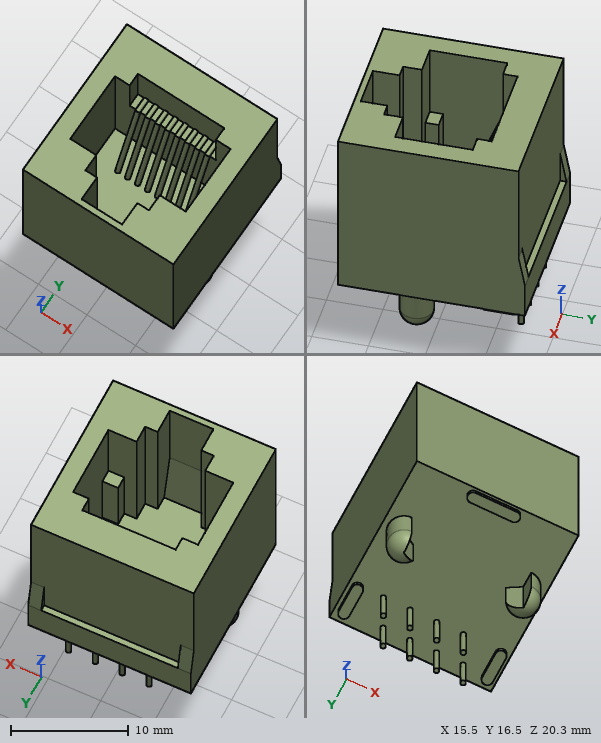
import cadquery as cq
import math

WIDTH = 15.5
DEPTH = 16.5
TOTAL_HEIGHT = 20.28

PEG_RADIUS = 1.5
PEG_SHANK = 2.78
PEG_X = 5.72
PEG_Y = 6.45
PEG_FLAT_ANGLE = 30

HEIGHT = TOTAL_HEIGHT - PEG_SHANK - PEG_RADIUS

REAR_STEP = 0.57
SLOPE_TOP_Z = 6.39
SLOPE_BOTTOM_Z = 3.37
LEDGE_WIDTH = 13.0

CAVITY_FLOOR_Z = 3.05
PLUG_WIDTH = 11.88
PLUG_FRONT_Y = 4.58
PLUG_BACK_Y = 11.44
SHOULDER_WIDTH = 6.53
SHOULDER_FRONT_Y = 2.92
LATCH_WIDTH = 4.15
LATCH_FRONT_Y = 0.57
LATCH_RAMP_FOOT_Y = 1.66
LATCH_RAMP_TOP_Z = 8.11
CORNER_BLOCK_DEPTH = 1.18
CORNER_BLOCK_TOP_Z = 9.13

RECESS_WIDTH = 8.88
RECESS_BACK_Y = 12.72
RECESS_FLOOR_Z = 10.97

CONTACT_COUNT = 8
WIRE_RADIUS = 0.25
WIRE_ROW_SPAN = 7.15
WIRE_PITCH = WIRE_ROW_SPAN / (CONTACT_COUNT - 1)
WIRE_TIP_Y = 8.34
WIRE_EMBED = 0.6

PIN_RADIUS = 0.25
PIN_PITCH = 1.28
PIN_LENGTH = 3.65
PIN_FRONT_ROW_Y = 12.78
PIN_BACK_ROW_Y = 15.33

PAD_HEIGHT = 0.4
PAD_WIDTH = 1.01
FRONT_PAD_LENGTH = 4.99
FRONT_PAD_Y = 0.75
SIDE_PAD_LENGTH = 3.53
SIDE_PAD_X = 6.87
SIDE_PAD_Y = 14.22


def box_between(width, y_front, y_back, z_bottom, z_top):
    """Box centred on X = 0."""
    box = cq.Workplane("XY").box(width, y_back - y_front, z_top - z_bottom, centered=(True, False, False))
    return box.translate((0, y_front, z_bottom))


def side_profile(points, width):
    """Closed (Y, Z) outline extruded symmetrically about X = 0."""
    return cq.Workplane("YZ").polyline(points).close().extrude(width / 2, both=True)


def row_positions(count, pitch):
    """X positions of an evenly spaced row centred on X = 0."""
    return [(i - (count - 1) / 2) * pitch for i in range(count)]


def make_housing():
    wall_y = DEPTH - REAR_STEP
    outline = [
        (0, 0),
        (DEPTH, 0),
        (DEPTH, SLOPE_BOTTOM_Z),
        (wall_y, SLOPE_TOP_Z),
        (wall_y, HEIGHT),
        (0, HEIGHT),
    ]
    ledge_cut = box_between(LEDGE_WIDTH, wall_y, DEPTH, SLOPE_BOTTOM_Z, SLOPE_TOP_Z)
    return side_profile(outline, WIDTH).cut(ledge_cut)


def make_cavity():
    plug = box_between(PLUG_WIDTH, PLUG_FRONT_Y, PLUG_BACK_Y, CAVITY_FLOOR_Z, HEIGHT)
    shoulder = box_between(SHOULDER_WIDTH, SHOULDER_FRONT_Y, PLUG_BACK_Y, CAVITY_FLOOR_Z, HEIGHT)
    latch_outline = [
        (PLUG_BACK_Y, CAVITY_FLOOR_Z),
        (LATCH_RAMP_FOOT_Y, CAVITY_FLOOR_Z),
        (LATCH_FRONT_Y, LATCH_RAMP_TOP_Z),
        (LATCH_FRONT_Y, HEIGHT),
        (PLUG_BACK_Y, HEIGHT),
    ]
    latch = side_profile(latch_outline, LATCH_WIDTH)
    recess = box_between(RECESS_WIDTH, PLUG_BACK_Y, RECESS_BACK_Y, RECESS_FLOOR_Z, HEIGHT)
    return plug.union(shoulder).union(latch).union(recess)


def make_corner_blocks():
    """Blocks filling the two front corners of the plug cavity, flush with the recess sides."""
    back_y = PLUG_FRONT_Y + CORNER_BLOCK_DEPTH
    strip = box_between(PLUG_WIDTH, PLUG_FRONT_Y, back_y, CAVITY_FLOOR_Z, CORNER_BLOCK_TOP_Z)
    middle = box_between(RECESS_WIDTH, PLUG_FRONT_Y, back_y, CAVITY_FLOOR_Z, CORNER_BLOCK_TOP_Z)
    return strip.cut(middle)


def make_wire(x):
    """Wire lying half sunk in the recess floor, then slanting down to the cavity floor."""
    start_y = RECESS_BACK_Y + WIRE_EMBED
    path = cq.Workplane("YZ", origin=(x, 0, 0)).polyline(
        [(start_y, RECESS_FLOOR_Z), (PLUG_BACK_Y, RECESS_FLOOR_Z), (WIRE_TIP_Y, CAVITY_FLOOR_Z)]
    )
    section = cq.Workplane("XZ", origin=(x, start_y, RECESS_FLOOR_Z)).circle(WIRE_RADIUS)
    return section.sweep(path, transition="right")


def make_pin(x, y):
    return cq.Workplane("XY").center(x, y).circle(PIN_RADIUS).extrude(-PIN_LENGTH)


def make_pad(x, y, length, angle):
    return cq.Workplane("XY").center(x, y).slot2D(length, PAD_WIDTH, angle).extrude(-PAD_HEIGHT)


def make_peg():
    """Right-hand peg with a sector open towards the front and the middle of the part."""
    shank = cq.Workplane("XY").circle(PEG_RADIUS).extrude(-PEG_SHANK)
    dome = cq.Workplane("XY").sphere(PEG_RADIUS).translate((0, 0, -PEG_SHANK))
    reach = 2 * PEG_RADIUS
    angle = math.radians(PEG_FLAT_ANGLE)
    sector = (
        cq.Workplane("XY")
        .polyline([(0, 0), (-reach * math.cos(angle), reach * math.sin(angle)), (-reach, -reach), (0, -reach)])
        .close()
        .extrude(-TOTAL_HEIGHT)
    )
    return shank.union(dome).cut(sector).translate((PEG_X, PEG_Y, 0))


result = make_housing().cut(make_cavity()).union(make_corner_blocks())

for wire_x in row_positions(CONTACT_COUNT, WIRE_PITCH):
    result = result.union(make_wire(wire_x))

for index, pin_x in enumerate(row_positions(CONTACT_COUNT, PIN_PITCH)):
    row_y = PIN_BACK_ROW_Y if index % 2 else PIN_FRONT_ROW_Y
    result = result.union(make_pin(pin_x, row_y))

result = result.union(make_pad(0, FRONT_PAD_Y, FRONT_PAD_LENGTH, 0))
for side in (-1, 1):
    result = result.union(make_pad(side * SIDE_PAD_X, SIDE_PAD_Y, SIDE_PAD_LENGTH, 90))

right_peg = make_peg()
result = result.union(right_peg).union(right_peg.mirror("YZ"))